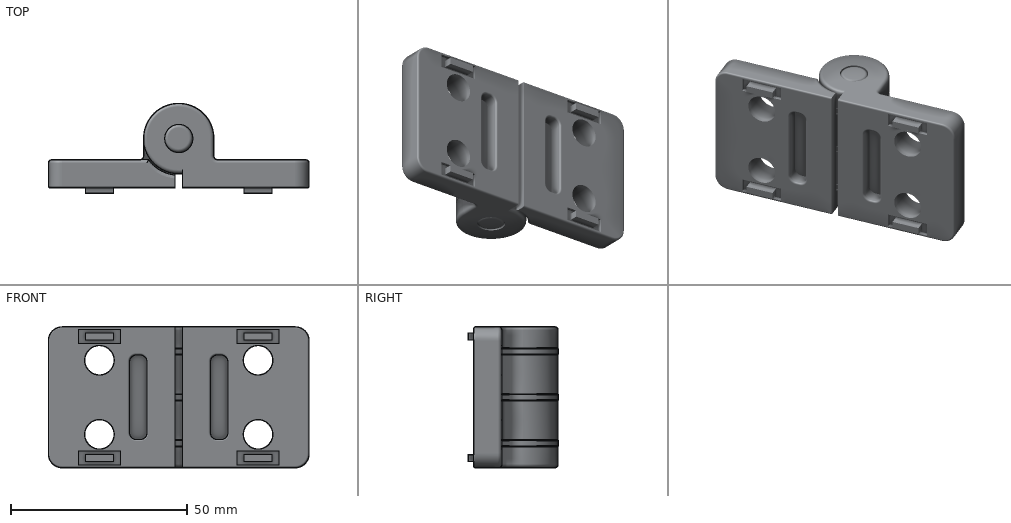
import cadquery as cq
import math


half_span = 37.0
height = 40.0
half_height = height / 2
knuckle_dia = 20.0
knuckle_radius = knuckle_dia / 2
seam_width = 2.0
seam_depth = 4.0
plate_thickness = 8.0
back_y = -knuckle_radius - seam_depth
front_y = back_y + plate_thickness
seam_x = seam_width / 2
corner_radius = 4.0
front_round = 1.0
back_round = 0.5
root_round = 1.0

axial_gap = 2.0
end_knuckle_length = 6.0
end_knuckle_low_z = half_height - end_knuckle_length
inner_knuckle_high_z = end_knuckle_low_z - axial_gap
inner_knuckle_low_z = axial_gap / 2
outer_gap_z = end_knuckle_low_z - axial_gap / 2
clearance_radius = 10.4

pin_dia = 8.0
pin_face_dia = 6.0
pin_end_round = (pin_dia - pin_face_dia) / 2
washer_bore = 8.5
washer_thickness = 1.5

screw_hole_dia = 8.3
screw_x = 22.5
screw_z = 10.5

slot_x = 11.5
slot_width = 6.0
slot_length = 25.0
slot_rim_round = 0.5
slot_end_flat = 1.0
slot_depth = 4.0

tab_z = 17.25
tab_length = 8.0
tab_width = 2.0
tab_projection = 1.55
pocket_length = 12.0
pocket_width = 4.0
pocket_depth = 1.0


def box_between(x_range, y_range, z_range):
    """Box spanning the given (low, high) ranges."""
    lows, highs = zip(x_range, y_range, z_range)
    sizes = [high - low for low, high in zip(lows, highs)]
    return cq.Workplane("XY").box(*sizes, centered=False).translate(lows)


def cylinder_z(radius, low_z, high_z):
    """Cylinder about the hinge axis."""
    return cq.Workplane("XY").workplane(offset=low_z).circle(radius).extrude(high_z - low_z)


def plate():
    """Flat leaf with two rounded outer corners and a rounded rim on the mounting face."""
    body = box_between((seam_x, half_span), (back_y, front_y), (-half_height, half_height))
    body = body.edges("|Y and >X").fillet(corner_radius)
    return body.faces("<Y").edges("not <X").fillet(back_round)


def knuckle(low_z, high_z):
    """Barrel that runs tangentially down into the plate."""
    root_end_x = knuckle_radius + root_round
    root_start_y = front_y + root_round
    diagonal = math.sqrt(0.5)
    root_shift = root_round * (1 - diagonal)
    return (
        cq.Workplane("XY").workplane(offset=low_z)
        .moveTo(0, -knuckle_radius)
        .lineTo(root_end_x, -knuckle_radius)
        .lineTo(root_end_x, front_y)
        .threePointArc(
            (knuckle_radius + root_shift, front_y + root_shift),
            (knuckle_radius, root_start_y),
        )
        .lineTo(knuckle_radius, 0)
        .threePointArc((0, knuckle_radius), (-knuckle_radius, 0))
        .threePointArc((-knuckle_radius * diagonal, -knuckle_radius * diagonal), (0, -knuckle_radius))
        .close()
        .extrude(high_z - low_z)
    )


def round_front_rim(body):
    """Round the knuckle-side rim: both leaf ends, the outer side and the end of the clearance recess."""
    tolerance = 0.01
    rim_edges = []
    for edge in body.edges().vals():
        center = edge.Center()
        bounds = edge.BoundingBox()
        on_knuckle_end = center.z > half_height - tolerance and center.y > -knuckle_radius - tolerance
        on_recess_end = center.z < -half_height + tolerance and edge.geomType() == "CIRCLE"
        on_front_face = bounds.ymin > front_y - tolerance and bounds.ymax < front_y + tolerance
        on_outline = on_front_face and center.x > half_span / 2
        if on_knuckle_end or on_recess_end or on_outline:
            rim_edges.append(edge)
    return body.newObject(rim_edges).fillet(front_round)


def screw_holes():
    """Two through holes, as cutting tools."""
    return (
        cq.Workplane("XZ", origin=(screw_x, front_y, 0))
        .pushPoints([(0, screw_z), (0, -screw_z)])
        .circle(screw_hole_dia / 2)
        .extrude(plate_thickness)
    )


def cut_slot(body):
    """Blind slot in the mounting face with a rounded rim."""
    half_width = slot_width / 2 - slot_rim_round
    half_length = slot_length / 2 - slot_rim_round
    walls = box_between(
        (slot_x - half_width, slot_x + half_width),
        (back_y, back_y + slot_depth),
        (-half_length, half_length),
    )
    walls = walls.edges("|Y").fillet(half_width - slot_end_flat / 2)
    rim_zone = cq.selectors.BoxSelector(
        (slot_x - slot_width / 2, back_y - slot_rim_round, -slot_length / 2),
        (slot_x + slot_width / 2, back_y + slot_rim_round, slot_length / 2),
    )
    return body.cut(walls).edges(rim_zone).fillet(slot_rim_round)


def cut_pocket_and_add_tab(body, center_z):
    """Shallow pocket in the mounting face with a tab standing on its floor."""
    floor_y = back_y + pocket_depth
    pocket = box_between(
        (screw_x - pocket_length / 2, screw_x + pocket_length / 2),
        (back_y, floor_y),
        (center_z - pocket_width / 2, center_z + pocket_width / 2),
    )
    tab = box_between(
        (screw_x - tab_length / 2, screw_x + tab_length / 2),
        (back_y - tab_projection, floor_y),
        (center_z - tab_width / 2, center_z + tab_width / 2),
    )
    return body.cut(pocket).union(tab)


def leaf():
    """Right-hand leaf: its own knuckles at the top and below the middle washer."""
    own_spans = (
        (end_knuckle_low_z, half_height),
        (-inner_knuckle_high_z, -inner_knuckle_low_z),
    )
    clearance_spans = (
        (-inner_knuckle_low_z, end_knuckle_low_z),
        (-half_height, -inner_knuckle_high_z),
    )
    body = plate()
    for low_z, high_z in clearance_spans:
        body = body.cut(cylinder_z(clearance_radius, low_z, high_z))
    for low_z, high_z in own_spans:
        body = body.union(knuckle(low_z, high_z))
    body = round_front_rim(body)
    body = body.cut(cylinder_z(pin_dia / 2, -half_height, half_height))
    body = body.cut(screw_holes())
    body = cut_slot(body)
    for center_z in (tab_z, -tab_z):
        body = cut_pocket_and_add_tab(body, center_z)
    return body


def pin():
    """Hinge pin, flush with the end knuckles, rounded at both ends."""
    return cylinder_z(pin_dia / 2, -half_height, half_height).edges("%CIRCLE").fillet(pin_end_round)


def washer(center_z):
    """Plain ring between two knuckles."""
    low_z = center_z - washer_thickness / 2
    high_z = center_z + washer_thickness / 2
    return cylinder_z(knuckle_radius, low_z, high_z).cut(cylinder_z(washer_bore / 2, low_z, high_z))


leaves = [leaf().rotate((0, 0, 0), (0, 1, 0), turn) for turn in (0, 180)]
hinge_pin = pin()
washers = [washer(center_z) for center_z in (-outer_gap_z, 0, outer_gap_z)]

result = cq.Compound.makeCompound(
    [body.val() for body in [*leaves, hinge_pin, *washers]]
)